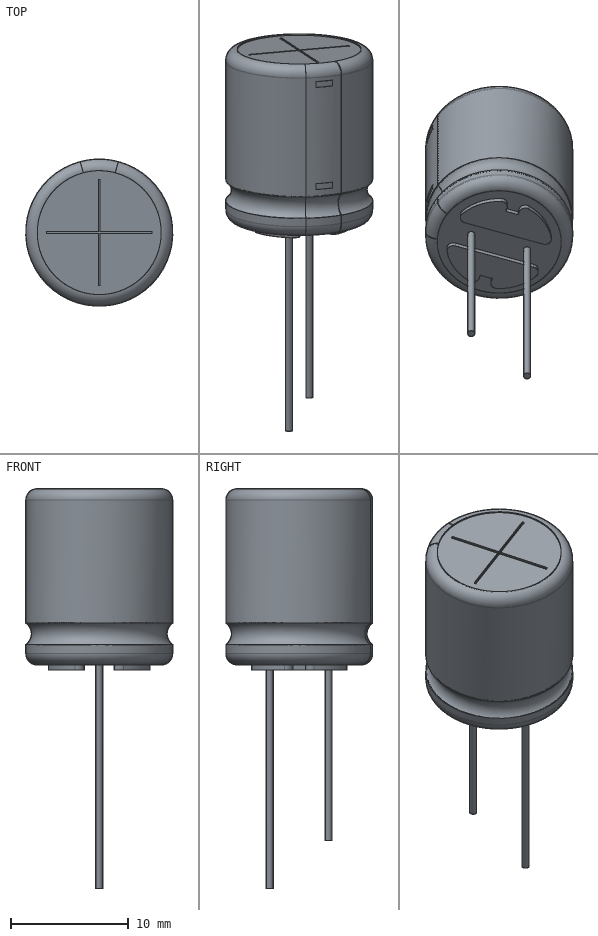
import cadquery as cq
import math


overall_height = 34

case_radius = 6.25
case_height = 15.0
rim_radius = 1.0
lip_radius = case_radius - rim_radius
groove_bottom = 1.75
groove_top = 3.57
groove_depth = 0.48
sleeve_thickness = 0.1

groove_middle = (groove_bottom + groove_top) / 2
groove_half_width = (groove_top - groove_bottom) / 2
groove_radius = (groove_half_width**2 + groove_depth**2) / (2 * groove_depth)
groove_center_radius = case_radius - groove_depth + groove_radius

cross_length = 9.0
cross_width = 0.17
cross_depth = 0.2

stripe_angle = 30
bar_width = 1.5
bar_height = 0.5
bar_drops = (1.6, 10.55)

bung_height = groove_top
foot_radius = 4.5
foot_height = 0.45
channel_width = 2.5
notch_width = 1.1
notch_floor = 3.47
foot_fillet = 0.55

lead_radius = 0.3
lead_pitch = 5.0
long_lead = overall_height - case_height
lead_difference = 4.08
short_lead = long_lead - lead_difference


def case_solid(inset):
    """Solid of revolution whose surface lies the given distance inside the case surface."""
    radius = case_radius - inset
    top = case_height - inset
    rim = rim_radius - inset
    rim_diagonal = rim * math.sqrt(0.5)
    lower_rim_center = rim_radius
    upper_rim_center = case_height - rim_radius
    arc_radius = groove_radius + inset
    arc_half_width = math.sqrt(arc_radius**2 - (groove_center_radius - radius) ** 2)
    return (
        cq.Workplane("XZ")
        .moveTo(0, inset)
        .lineTo(lip_radius, inset)
        .threePointArc(
            (lip_radius + rim_diagonal, lower_rim_center - rim_diagonal),
            (radius, lower_rim_center),
        )
        .lineTo(radius, groove_middle - arc_half_width)
        .threePointArc(
            (groove_center_radius - arc_radius, groove_middle),
            (radius, groove_middle + arc_half_width),
        )
        .lineTo(radius, upper_rim_center)
        .threePointArc(
            (lip_radius + rim_diagonal, upper_rim_center + rim_diagonal),
            (lip_radius, top),
        )
        .lineTo(0, top)
        .close()
        .revolve(360, (0, 0, 0), (0, 1, 0))
    )


def make_wrap():
    """Thin layer around the can, open inside the lips at the top and the bottom."""
    opening = cq.Workplane("XY").circle(lip_radius).extrude(case_height)
    return case_solid(0).cut(case_solid(sleeve_thickness)).cut(opening)


def make_stripe_wedge():
    """Wedge from the axis toward +Y that marks out the stripe."""
    reach = 2 * case_radius
    half_width = reach * math.tan(math.radians(stripe_angle / 2))
    corners = [(0, 0), (half_width, reach), (-half_width, reach)]
    return cq.Workplane("XY").polyline(corners).close().extrude(case_height)


def make_minus_bar(drop, wrap):
    """Bar as thick as the stripe, centred the given drop below the top of the case."""
    block = (
        cq.Workplane("XY")
        .box(bar_width, case_radius, bar_height, centered=(True, False, True))
        .translate((0, lip_radius, case_height - drop))
    )
    return wrap.intersect(block)


def make_can():
    """Can with a scored cross on top and a recess for the bung underneath."""
    can = case_solid(sleeve_thickness)
    can = can.cut(cq.Workplane("XY").circle(lip_radius).extrude(bung_height))
    cross_floor = case_height - sleeve_thickness - cross_depth
    cross = (
        cq.Workplane("XY", origin=(0, 0, cross_floor))
        .rect(cross_length, cross_width)
        .extrude(cross_depth)
    )
    return can.cut(cross).cut(cross.rotate((0, 0, 0), (0, 0, 1), 90))


def make_bung():
    """Disc with two rounded feet, each notched in the middle of its outer side."""
    feet = cq.Workplane("XY").circle(foot_radius).extrude(-foot_height)
    feet = feet.cut(cq.Workplane("XY").rect(channel_width, 2 * foot_radius).extrude(-foot_height))
    for side in (-1, 1):
        notch = (
            cq.Workplane("XY")
            .center(side * (notch_floor + foot_radius / 2), 0)
            .rect(foot_radius, notch_width)
            .extrude(-foot_height)
        )
        feet = feet.cut(notch)
    notch_floors = cq.selectors.BoxSelector(
        (-notch_floor - foot_fillet, -notch_width, -foot_height),
        (notch_floor + foot_fillet, notch_width, 0),
    )
    outer_edges = feet.edges("|Z").edges(cq.selectors.InverseSelector(notch_floors))
    feet = outer_edges.fillet(foot_fillet)
    return cq.Workplane("XY").circle(lip_radius).extrude(bung_height).union(feet)


def make_lead(y, length):
    """Straight round wire hanging from the underside of the bung."""
    return cq.Workplane("XY").center(0, y).circle(lead_radius).extrude(-length)


wrap = make_wrap()
stripe_wedge = make_stripe_wedge()
minus_bars = [make_minus_bar(drop, wrap) for drop in bar_drops]
sleeve = wrap.cut(stripe_wedge)
stripe = wrap.intersect(stripe_wedge)
for minus_bar in minus_bars:
    stripe = stripe.cut(minus_bar)

can = make_can()
bung = make_bung()
leads = [
    make_lead(-lead_pitch / 2, long_lead),
    make_lead(lead_pitch / 2, short_lead),
]

result = cq.Compound.makeCompound(
    [
        sleeve.solids().val(),
        stripe.solids().val(),
        *[minus_bar.solids().val() for minus_bar in minus_bars],
        can.solids().val(),
        bung.solids().val(),
        *[lead.val() for lead in leads],
    ]
)